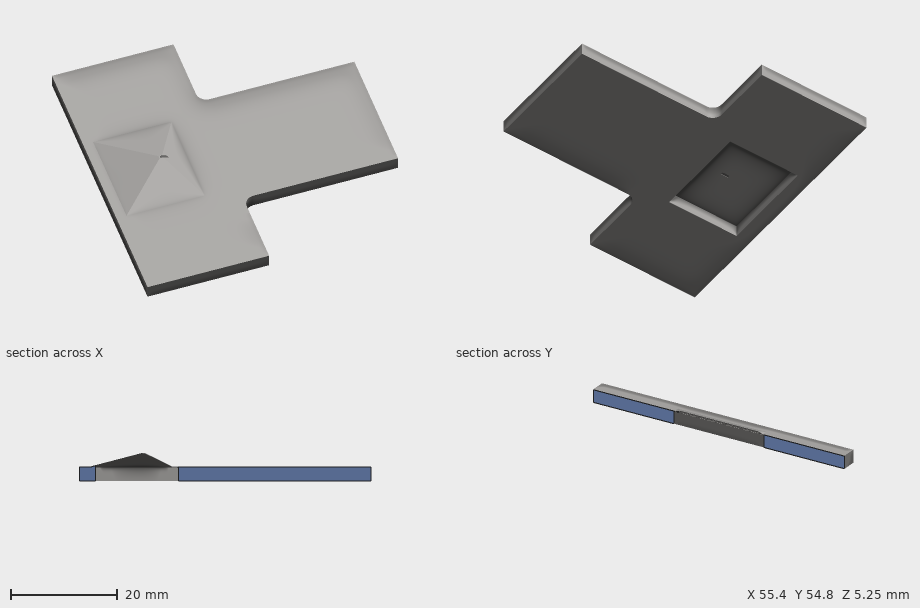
import cadquery as cq

plate_width = 55.4
plate_length = 54.8
plate_thickness = 2.7
arm_length = 24.1
stem_width = 25.3
corner_radius = 2.05

overall_height = 5.25
pyramid_width = 19.35
pyramid_length = 15.5
pyramid_front = 2.0
tip_width = 0.6
tip_length = 0.7
tip_front = 11.75
pyramid_height = overall_height - plate_thickness

ceiling = 0.14
roof_wall = 0.1
side_inset = 0.35
pocket_width = 19.7
pocket_shift = 1.1
pocket_front = pyramid_front + pocket_shift

slot_width = 0.5
slot_length = 1.6
slot_front = 11.95


def block(width, front, length, height):
    """Box centred on X that stands on Z = 0."""
    return (
        cq.Workplane("XY")
        .box(width, length, height, centered=(True, False, False))
        .translate((0, front, 0))
    )


def t_plate():
    half_stem = stem_width / 2
    arms = block(plate_width, 0, arm_length, plate_thickness)
    stem = block(stem_width, 0, plate_length, plate_thickness)
    plate = arms.union(stem)
    for corner_x in (-half_stem, half_stem):
        corner = cq.selectors.NearestToPointSelector((corner_x, arm_length, plate_thickness / 2))
        plate = plate.edges("|Z").edges(corner).fillet(corner_radius)
    return plate


def cut_off_pyramid(base_width, base_z):
    """Ruled pyramid from the base rectangle at base_z up to the tip rectangle."""
    base_middle = pyramid_front + pyramid_length / 2
    tip_middle = tip_front + tip_length / 2
    return (
        cq.Workplane("XY", origin=(0, base_middle, base_z))
        .rect(base_width, pyramid_length)
        .workplane(offset=pyramid_height)
        .center(0, tip_middle - base_middle)
        .rect(tip_width, tip_length)
        .loft(ruled=True)
    )


def cavity():
    pocket = block(pocket_width, pocket_front, pyramid_length, plate_thickness - ceiling)
    hollow = cut_off_pyramid(pyramid_width - 2 * side_inset, plate_thickness - roof_wall)
    behind_pocket_front = block(pocket_width, pocket_front, pyramid_length, overall_height)
    return pocket.union(hollow.intersect(behind_pocket_front))


def tip_slot():
    half_slot = slot_width / 2
    straight = block(slot_width, slot_front, slot_length - half_slot, overall_height)
    rear_end = (
        cq.Workplane("XY")
        .center(0, slot_front + slot_length - half_slot)
        .circle(half_slot)
        .extrude(overall_height)
    )
    return straight.union(rear_end)


pyramid = cut_off_pyramid(pyramid_width, plate_thickness)
result = t_plate().union(pyramid).cut(cavity()).cut(tip_slot())